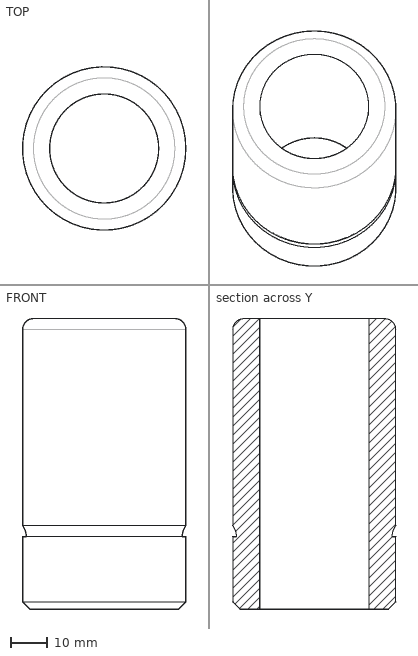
import cadquery as cq

length = 80.0
outer_radius = 22.5
bore_radius = 15.0

top_round = 3.0
bottom_chamfer = 2.1

groove_bottom = 20.0
groove_height = 3.0
groove_depth = 1.0
groove_radius = 6.0


def make_sleeve():
    """Revolve the wall section, with its rounded top and chamfered foot."""
    return (
        cq.Workplane("XZ")
        .moveTo(bore_radius, 0)
        .lineTo(outer_radius - bottom_chamfer, 0)
        .lineTo(outer_radius, bottom_chamfer)
        .lineTo(outer_radius, length - top_round)
        .radiusArc((outer_radius - top_round, length), -top_round)
        .lineTo(bore_radius, length)
        .close()
        .revolve(360, (0, 0, 0), (0, 1, 0))
    )


def make_groove():
    """Ring with a flat shoulder and concave arc removed from the outer surface."""
    return (
        cq.Workplane("XZ")
        .moveTo(outer_radius, groove_bottom)
        .lineTo(outer_radius - groove_depth, groove_bottom)
        .radiusArc((outer_radius, groove_bottom + groove_height), groove_radius)
        .close()
        .revolve(360, (0, 0, 0), (0, 1, 0))
    )


result = make_sleeve().cut(make_groove())